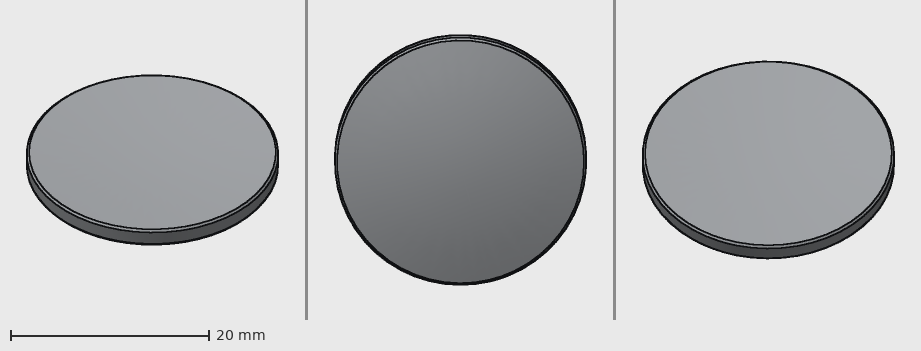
import cadquery as cq
import math

diameter = 25.4
center_thickness = 3.0
convex_radius = 47.9
concave_radius = 119.3
edge_bevel = 0.25

rim_radius = diameter / 2


def sag(sphere_radius, distance):
    """Height of a spherical face above its vertex at a distance from the axis."""
    return sphere_radius - math.sqrt(sphere_radius**2 - distance**2)


def lens_body():
    """Sharp-edged lens, revolved from its half section about the Z axis."""
    convex_middle = (rim_radius / 2, sag(convex_radius, rim_radius / 2))
    convex_edge = (rim_radius, sag(convex_radius, rim_radius))
    concave_edge = (rim_radius, center_thickness + sag(concave_radius, rim_radius))
    concave_middle = (rim_radius / 2, center_thickness + sag(concave_radius, rim_radius / 2))
    concave_vertex = (0, center_thickness)

    half_section = (
        cq.Workplane("XZ")
        .moveTo(0, 0)
        .threePointArc(convex_middle, convex_edge)
        .lineTo(*concave_edge)
        .threePointArc(concave_middle, concave_vertex)
        .close()
    )
    return half_section.revolve(360, (0, 0, 0), (0, 1, 0))


def bevel_rim(lens):
    """Chamfer the two circular edges where the spherical faces meet the rim."""
    return lens.faces("%CYLINDER").edges("%CIRCLE").chamfer(edge_bevel)


result = bevel_rim(lens_body())